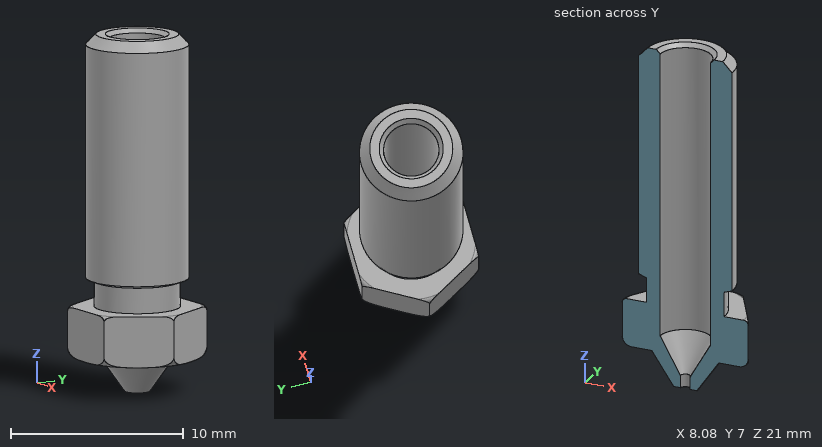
import cadquery as cq
import math

TOTAL_LENGTH = 21.0
TIP_HEIGHT = 2.0
HEX_HEIGHT = 3.0
NECK_HEIGHT = 1.5
HEX_TOP = TIP_HEIGHT + HEX_HEIGHT
NECK_TOP = HEX_TOP + NECK_HEIGHT

TIP_RADIUS = 0.75
TIP_HALF_ANGLE = math.radians(35)
TIP_BASE_RADIUS = TIP_RADIUS + TIP_HEIGHT * math.tan(TIP_HALF_ANGLE)

HEX_ACROSS_FLATS = 7.0
HEX_CORNER_RADIUS = HEX_ACROSS_FLATS / 2 / math.cos(math.radians(30))
HEX_TOP_ROUND = 0.3
HEX_BOTTOM_ROUND = 0.6

NECK_RADIUS = 2.5
SHANK_RADIUS = 3.0
SHANK_TOP_CHAMFER = 0.6
SHANK_LOWER_CHAMFER_ANGLE = math.radians(20)

BORE_RADIUS = 1.6
BORE_LEAD_IN = 0.25
OUTLET_RADIUS = 0.3
OUTLET_LENGTH = 0.8
FUNNEL_HALF_ANGLE = math.radians(30)


def revolve_profile(points):
    """Turn a closed (radius, height) outline about the Z axis."""
    return cq.Workplane("XZ").polyline(points).close().revolve(360, (0, 0), (0, 1))


def make_turned_body():
    """Tip cone, neck and shank as one turned outline."""
    lower_chamfer_height = (SHANK_RADIUS - NECK_RADIUS) * math.tan(SHANK_LOWER_CHAMFER_ANGLE)
    return revolve_profile([
        (0, 0),
        (TIP_RADIUS, 0),
        (TIP_BASE_RADIUS, TIP_HEIGHT),
        (NECK_RADIUS, TIP_HEIGHT),
        (NECK_RADIUS, NECK_TOP),
        (SHANK_RADIUS, NECK_TOP + lower_chamfer_height),
        (SHANK_RADIUS, TOTAL_LENGTH - SHANK_TOP_CHAMFER),
        (SHANK_RADIUS - SHANK_TOP_CHAMFER, TOTAL_LENGTH),
        (0, TOTAL_LENGTH),
    ])


def make_hex():
    """Hexagonal prism whose corners are rounded off at each end."""
    prism = (
        cq.Workplane("XY")
        .workplane(offset=TIP_HEIGHT)
        .polygon(6, 2 * HEX_CORNER_RADIUS)
        .extrude(HEX_HEIGHT)
    )
    envelope = (
        cq.Workplane("XY")
        .workplane(offset=TIP_HEIGHT)
        .circle(HEX_CORNER_RADIUS)
        .extrude(HEX_HEIGHT)
        .faces(">Z").edges().fillet(HEX_TOP_ROUND)
        .faces("<Z").edges().fillet(HEX_BOTTOM_ROUND)
    )
    return prism.intersect(envelope)


def make_bore():
    """Through passage: outlet hole, funnel, bore and chamfered mouth."""
    funnel_height = (BORE_RADIUS - OUTLET_RADIUS) / math.tan(FUNNEL_HALF_ANGLE)
    return revolve_profile([
        (0, 0),
        (OUTLET_RADIUS, 0),
        (OUTLET_RADIUS, OUTLET_LENGTH),
        (BORE_RADIUS, OUTLET_LENGTH + funnel_height),
        (BORE_RADIUS, TOTAL_LENGTH - BORE_LEAD_IN),
        (BORE_RADIUS + BORE_LEAD_IN, TOTAL_LENGTH),
        (0, TOTAL_LENGTH),
    ])


result = make_turned_body().union(make_hex()).cut(make_bore())